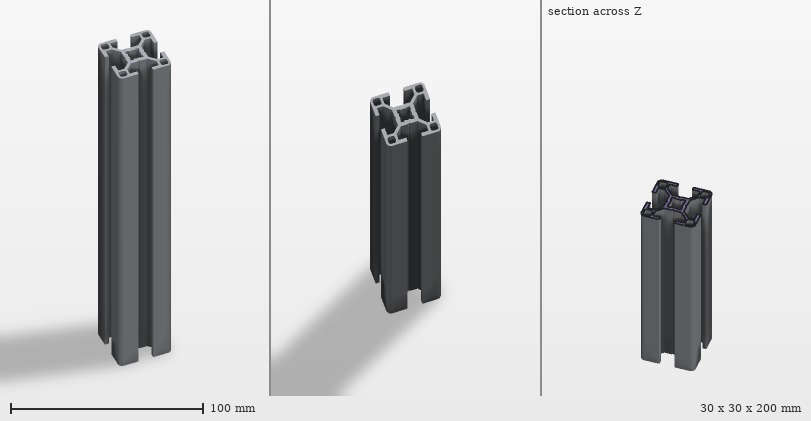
import cadquery as cq
import math

size = 30.0
length = 200.0
half_size = size / 2
corner_radius = 2.5

slot_width = 8.1
slot_inner_width = 16.5
lip_thickness = 2.15
lip_edge_radius = 0.5

core_width = 11.6
web_thickness = 1.7
groove_width = 1.2
groove_depth = 0.5
bore_diameter = 6.8
relief_reach = 3.7
relief_width = 1.85
hollow_width = 4.15
hollow_radius = 1.2
outer_wall = 1.3

quarter_turns = [0, 90, 180, 270]
axis = ((0, 0, 0), (0, 0, 1))


def extrude_outline(points):
    return cq.Workplane("XY").polyline(points).close().extrude(length)


def make_blank():
    return cq.Workplane("XY").rect(size, size).extrude(length).edges("|Z").fillet(corner_radius)


def make_slot():
    """T-slot opening toward +Y, with a V groove along the middle of its floor."""
    half_slot = slot_width / 2
    half_inner = slot_inner_width / 2
    half_core = core_width / 2
    web_offset = web_thickness / math.sqrt(2)
    lip_underside = half_size - lip_thickness
    right_side = [
        (groove_width / 2, half_core),
        (half_core - web_offset, half_core),
        (half_inner, half_inner + web_offset),
        (half_inner, lip_underside),
        (half_slot, lip_underside),
        (half_slot, half_size),
    ]
    left_side = [(-x, y) for x, y in reversed(right_side)]
    groove_bottom = (0, half_core - groove_depth)
    return extrude_outline([groove_bottom] + right_side + left_side)


def make_corner_hollow():
    """Square hollow with rounded corners in the +X +Y corner of the section."""
    centre = half_size - outer_wall - hollow_width / 2
    hollow = cq.Workplane("XY").center(centre, centre).rect(hollow_width, hollow_width).extrude(length)
    return hollow.edges("|Z").fillet(hollow_radius)


def make_bore():
    """Round bore through the core with a tapered relief toward each corner."""
    bore = cq.Workplane("XY").circle(bore_diameter / 2).extrude(length)
    relief_start = relief_reach - relief_width
    relief = extrude_outline([
        (0, 0),
        (relief_reach, relief_start),
        (relief_reach, relief_reach),
        (relief_start, relief_reach),
    ])
    for angle in quarter_turns:
        bore = bore.union(relief.rotate(*axis, angle))
    return bore


def round_lips(body):
    """Round the outer edges of both lips at every slot, turning each slot to +Y in its turn."""
    half_slot = slot_width / 2
    margin = lip_edge_radius / 2
    for angle in quarter_turns:
        for side in (-1, 1):
            box = cq.selectors.BoxSelector(
                (side * half_slot - margin, half_size - margin, 0),
                (side * half_slot + margin, half_size + margin, length),
            )
            body = body.rotate(*axis, -angle)
            body = body.edges("|Z").edges(box).fillet(lip_edge_radius)
            body = body.rotate(*axis, angle)
    return body


result = make_blank().cut(make_bore())
for turn in quarter_turns:
    result = result.cut(make_slot().rotate(*axis, turn))
    result = result.cut(make_corner_hollow().rotate(*axis, turn))
result = round_lips(result)